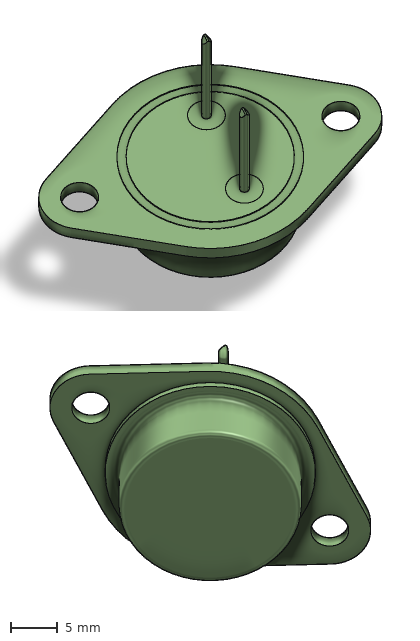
import cadquery as cq
import math

flange_length = 38.9
flange_width = 25.45
flange_thickness = 1.6
screw_spacing = 30.15
screw_hole_diameter = 4.05

groove_outer_diameter = 20.0
groove_inner_diameter = 18.0
groove_depth = 0.1

rim_diameter = 22.52
rim_thickness = 0.75
can_diameter = 19.53
can_depth = 7.35
can_root_fillet = 0.8
can_edge_fillet = 0.7

lead_spacing = 10.95
lead_offset_y = 1.75
lead_diameter = 1.05
lead_height = 13.07
lead_tip_height = 0.65
lead_tip_width = 0.2
seal_diameter = 4.05

top_z = flange_thickness
lead_top_z = top_z + lead_height
screw_y = screw_spacing / 2
side_radius = flange_width / 2
tip_radius = flange_length / 2 - screw_y
lead_centers = [(side * lead_spacing / 2, lead_offset_y) for side in (-1, 1)]


def make_flange():
    """Plate outline: two side arcs and two end arcs joined by tangent lines."""
    tangent_angle = math.asin((side_radius - tip_radius) / screw_y)
    side_x = side_radius * math.cos(tangent_angle)
    side_y = side_radius * math.sin(tangent_angle)
    tip_x = tip_radius * math.cos(tangent_angle)
    tip_y = screw_y + tip_radius * math.sin(tangent_angle)
    plate = (
        cq.Workplane("XY")
        .moveTo(side_x, -side_y)
        .threePointArc((side_radius, 0), (side_x, side_y))
        .lineTo(tip_x, tip_y)
        .threePointArc((0, flange_length / 2), (-tip_x, tip_y))
        .lineTo(-side_x, side_y)
        .threePointArc((-side_radius, 0), (-side_x, -side_y))
        .lineTo(-tip_x, -tip_y)
        .threePointArc((0, -flange_length / 2), (tip_x, -tip_y))
        .close()
        .extrude(flange_thickness)
    )
    screw_holes = (
        cq.Workplane("XY")
        .pushPoints([(0, -screw_y), (0, screw_y)])
        .circle(screw_hole_diameter / 2)
        .extrude(flange_thickness)
    )
    return plate.cut(screw_holes)


def make_can():
    """Solid of revolution: rim, concave root fillet, wall and rounded bottom edge."""
    profile = (
        cq.Workplane("XZ")
        .lineTo(rim_diameter / 2, 0)
        .lineTo(rim_diameter / 2, -rim_thickness)
        .lineTo(can_diameter / 2 + can_root_fillet, -rim_thickness)
        .radiusArc((can_diameter / 2, -rim_thickness - can_root_fillet), -can_root_fillet)
        .lineTo(can_diameter / 2, -can_depth + can_edge_fillet)
        .radiusArc((can_diameter / 2 - can_edge_fillet, -can_depth), can_edge_fillet)
        .lineTo(0, -can_depth)
        .close()
    )
    return profile.revolve(360, (0, 0, 0), (0, 1, 0))


def make_housing():
    """Flange and can in one piece, with the ring groove and the seal pockets."""
    groove = (
        cq.Workplane("XY", origin=(0, 0, top_z - groove_depth))
        .circle(groove_outer_diameter / 2)
        .circle(groove_inner_diameter / 2)
        .extrude(groove_depth)
    )
    seal_pockets = (
        cq.Workplane("XY")
        .pushPoints(lead_centers)
        .circle(seal_diameter / 2)
        .extrude(flange_thickness)
    )
    return make_flange().union(make_can()).cut(groove).cut(seal_pockets)


def make_seal(center):
    """Insulating ring flush with the flange top, with a bore for its lead."""
    return (
        cq.Workplane("XY")
        .pushPoints([center])
        .circle(seal_diameter / 2)
        .circle(lead_diameter / 2)
        .extrude(flange_thickness)
    )


def make_lead(center):
    """Round wire whose top is cut on both Y sides to a narrow ridge along X."""
    center_x, center_y = center
    lead_radius = lead_diameter / 2
    wire = cq.Workplane("XY").circle(lead_radius).extrude(lead_top_z)
    wedge = (
        cq.Workplane("YZ")
        .moveTo(-lead_radius, 0)
        .lineTo(lead_radius, 0)
        .lineTo(lead_radius, lead_top_z - lead_tip_height)
        .lineTo(lead_tip_width / 2, lead_top_z)
        .lineTo(-lead_tip_width / 2, lead_top_z)
        .lineTo(-lead_radius, lead_top_z - lead_tip_height)
        .close()
        .extrude(lead_radius, both=True)
    )
    return wire.intersect(wedge).translate((center_x, center_y, 0))


housing = make_housing()
seals = [make_seal(center) for center in lead_centers]
leads = [make_lead(center) for center in lead_centers]

result = cq.Compound.makeCompound([
    housing.solids().val(),
    *[seal.solids().val() for seal in seals],
    *[lead.solids().val() for lead in leads],
])